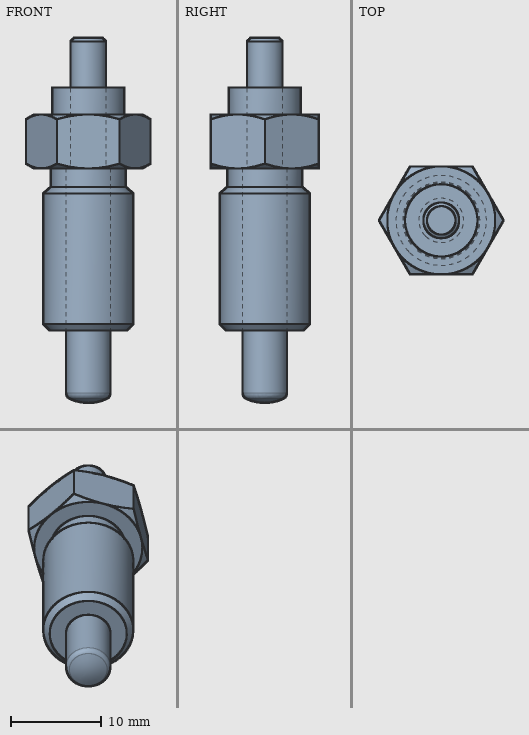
import cadquery as cq
import math

total_height = 40.5
pin_reach = 8.0
stem_reach = 5.5
collar_height = 3.0
hex_height = 6.0
neck_height = 2.02
sleeve_bottom = pin_reach
collar_top = total_height - stem_reach
hex_top = collar_top - collar_height
hex_bottom = hex_top - hex_height
neck_bottom = hex_bottom - neck_height

hex_flats = 12.0
hex_corners = hex_flats / math.cos(math.radians(30))
hex_chamfer_angle = 30.0
sleeve_diameter = 10.0
sleeve_radius = sleeve_diameter / 2
sleeve_chamfer = 0.73
neck_radius = 4.15
neck_cone_height = 0.73
collar_radius = 4.0

pin_radius = 2.45
stem_radius = 2.0
stem_chamfer_height = 0.4
stem_chamfer_width = 0.4
dome_radius = 4.65
dome_edge_fillet = 0.7


def make_hexagon():
    """Hexagon with its corners chamfered by a cone at both ends."""
    flat_radius = hex_flats / 2
    corner_radius = hex_corners / 2
    chamfer_height = (corner_radius - flat_radius) * math.tan(math.radians(hex_chamfer_angle))
    prism = (
        cq.Workplane("XY", origin=(0, 0, hex_bottom))
        .polygon(6, hex_corners)
        .extrude(hex_height)
    )
    chamfer_envelope = (
        cq.Workplane("XZ")
        .moveTo(0, hex_bottom)
        .lineTo(flat_radius, hex_bottom)
        .lineTo(corner_radius, hex_bottom + chamfer_height)
        .lineTo(corner_radius, hex_top - chamfer_height)
        .lineTo(flat_radius, hex_top)
        .lineTo(0, hex_top)
        .close()
        .revolve()
    )
    return prism.intersect(chamfer_envelope)


def make_pin():
    """Stepped pin: domed locating end below, slimmer chamfered stem above."""
    dome_height = dome_radius - math.sqrt(dome_radius**2 - pin_radius**2)
    dome_middle_radius = pin_radius / 2
    dome_middle_height = dome_radius - math.sqrt(dome_radius**2 - dome_middle_radius**2)
    return (
        cq.Workplane("XZ")
        .moveTo(0, 0)
        .threePointArc((dome_middle_radius, dome_middle_height), (pin_radius, dome_height))
        .lineTo(pin_radius, hex_bottom)
        .lineTo(stem_radius, hex_bottom)
        .lineTo(stem_radius, total_height - stem_chamfer_height)
        .lineTo(stem_radius - stem_chamfer_width, total_height)
        .lineTo(0, total_height)
        .close()
        .revolve()
        .edges(cq.selectors.NearestToPointSelector((0, 0, dome_height)))
        .fillet(dome_edge_fillet)
    )


def make_housing():
    """Sleeve, relief neck, hexagon and collar in one piece, bored to fit the pin."""
    turned_body = (
        cq.Workplane("XZ")
        .moveTo(0, sleeve_bottom)
        .lineTo(sleeve_radius - sleeve_chamfer, sleeve_bottom)
        .lineTo(sleeve_radius, sleeve_bottom + sleeve_chamfer)
        .lineTo(sleeve_radius, neck_bottom - neck_cone_height)
        .lineTo(neck_radius, neck_bottom)
        .lineTo(neck_radius, hex_top)
        .lineTo(collar_radius, hex_top)
        .lineTo(collar_radius, collar_top)
        .lineTo(0, collar_top)
        .close()
        .revolve()
    )
    pin_bore = (
        cq.Workplane("XY", origin=(0, 0, sleeve_bottom))
        .circle(pin_radius)
        .extrude(hex_bottom - sleeve_bottom)
    )
    stem_bore = (
        cq.Workplane("XY", origin=(0, 0, hex_bottom))
        .circle(stem_radius)
        .extrude(collar_top - hex_bottom)
    )
    return turned_body.union(make_hexagon()).cut(pin_bore).cut(stem_bore)


housing = make_housing()
pin = make_pin()
result = cq.Compound.makeCompound([housing.solids().val(), pin.solids().val()])